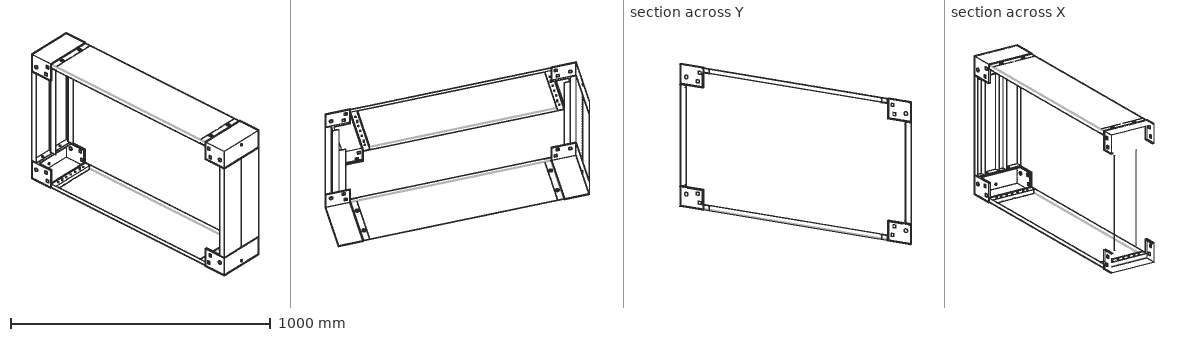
import cadquery as cq

LENGTH = 1000.0
WIDTH = 200.0
HEIGHT = 578.0
HALF_LENGTH = LENGTH / 2
HALF_WIDTH = WIDTH / 2
HALF_HEIGHT = HEIGHT / 2

CORNER_LENGTH = 100.0
CORNER_HEIGHT = 82.0
CORNER_SHEET = 3.0
CORNER_INNER_X = HALF_LENGTH - CORNER_LENGTH
CORNER_INNER_Z = HALF_HEIGHT - CORNER_HEIGHT
SHELF_DEPTH = 33.0
LIP_DEPTH = 21.0
GUSSET_RIM_WIDTH = 9.0
END_HOLE_DROP = 20.0
END_HOLE_DIAMETER = 9.0

ROUND_HOLE_PLACE = (24.0, 51.0)
ROUND_HOLE_DIAMETER = 15.0
SQUARE_HOLE_PLACES = [(82.0, 25.0), (74.0, 61.0)]
SQUARE_HOLE_SIZE = 12.0

PANEL_SHEET = 2.0

LONG_HALF_LENGTH = CORNER_INNER_X
LONG_SIDE_INSET = 0.5
LONG_TOP_INSET = 1.5
LONG_HALF_WIDTH = HALF_WIDTH - LONG_SIDE_INSET
LONG_TOP = HALF_HEIGHT - LONG_TOP_INSET
LONG_RIM = HALF_HEIGHT - LIP_DEPTH
LONG_BEND_RADIUS = 3.0

RAIL_WIDTH = 27.0
RAIL_WALL_END_GAP = 7.0
RAIL_NOTCH_WIDTH = 13.0
RAIL_NOTCH_HEIGHT = 2.0
RAIL_HOLE_DIAMETER = 6.0
RAIL_HOLE_PLACES = (-71.0, -25.0, 0, 25.0, 71.0)
SCREW_SPACING = 100.0
SCREW_INSET = 15.0
SCREW_HEAD_DIAMETER = 21.0
SCREW_HEAD_HEIGHT = 6.0
SCREW_SOCKET_DIAMETER = 10.0
SCREW_SOCKET_DEPTH = 3.0
SCREW_SHANK_DIAMETER = 6.0
SCREW_TIP_LENGTH = 6.0
SCREW_TIP = LONG_RIM - SCREW_TIP_LENGTH

SIDE_HALF_HEIGHT = CORNER_INNER_Z
SIDE_WIDTH = HALF_WIDTH
SIDE_DEPTH = 25.0
SIDE_RETURN = 18.0
SIDE_FIN_DEPTH = 52.0
SIDE_FIN_END_GAP = 10.0
SIDE_FIN_HALF_HEIGHT = SIDE_HALF_HEIGHT - SIDE_FIN_END_GAP
SIDE_HOLE_DIAMETER = 9.0
SIDE_HOLE_INSET = 13.0


def block(x_range, y_range, z_range):
    """Box between two limits on each axis."""
    (x0, x1), (y0, y1), (z0, z1) = x_range, y_range, z_range
    return cq.Workplane("XY").box(x1 - x0, y1 - y0, z1 - z0, centered=False).translate((x0, y0, z0))


def upright_cylinder(x, y, z, diameter, height):
    """Cylinder along Z that rises from the given point."""
    return cq.Workplane("XY", origin=(x, y, z)).circle(diameter / 2).extrude(height)


def make_corner():
    """Sheet bracket at the +X, +Z corner: top, end and two gussets around an open inside."""
    x_wall = HALF_LENGTH - CORNER_SHEET
    y_wall = HALF_WIDTH - CORNER_SHEET
    z_wall = HALF_HEIGHT - CORNER_SHEET
    inner_y = (-y_wall, y_wall)

    corner = block((CORNER_INNER_X, HALF_LENGTH), (-HALF_WIDTH, HALF_WIDTH), (CORNER_INNER_Z, HALF_HEIGHT))
    corner = corner.cut(block((CORNER_INNER_X, x_wall), inner_y, (CORNER_INNER_Z, z_wall)))

    shelf_z = (CORNER_INNER_Z, CORNER_INNER_Z + CORNER_SHEET)
    lip_x = (CORNER_INNER_X, CORNER_INNER_X + CORNER_SHEET)
    corner = corner.union(block((HALF_LENGTH - SHELF_DEPTH, HALF_LENGTH), inner_y, shelf_z))
    corner = corner.union(block(lip_x, inner_y, (HALF_HEIGHT - LIP_DEPTH, HALF_HEIGHT)))

    rim_start = HALF_WIDTH - GUSSET_RIM_WIDTH
    for rim_y in ((-HALF_WIDTH, -rim_start), (rim_start, HALF_WIDTH)):
        corner = corner.union(block((CORNER_INNER_X, HALF_LENGTH), rim_y, shelf_z))
        corner = corner.union(block(lip_x, rim_y, (CORNER_INNER_Z, HALF_HEIGHT)))

    return corner.cut(gusset_openings()).cut(end_hole())


def gusset_openings():
    """Cutters across the full width, through both gussets."""
    round_inset, round_drop = ROUND_HOLE_PLACE
    cutters = cq.Workplane("XZ").center(HALF_LENGTH - round_inset, HALF_HEIGHT - round_drop)
    cutters = cutters.circle(ROUND_HOLE_DIAMETER / 2).extrude(HALF_WIDTH, both=True)
    square_centers = [(HALF_LENGTH - inset, HALF_HEIGHT - drop) for inset, drop in SQUARE_HOLE_PLACES]
    squares = (
        cq.Workplane("XZ")
        .pushPoints(square_centers)
        .rect(SQUARE_HOLE_SIZE, SQUARE_HOLE_SIZE)
        .extrude(HALF_WIDTH, both=True)
    )
    return cutters.add(squares).combine()


def end_hole():
    """Cutter for the hole through the end sheet."""
    start = (HALF_LENGTH - CORNER_SHEET, 0, HALF_HEIGHT - END_HOLE_DROP)
    return cq.Workplane("YZ", origin=start).circle(END_HOLE_DIAMETER / 2).extrude(CORNER_SHEET)


def add_rail(panel):
    """Close the +X end of the long panel with a hollow rail and its two screws."""
    rail_start = LONG_HALF_LENGTH - RAIL_WIDTH
    rail_middle = LONG_HALF_LENGTH - RAIL_WIDTH / 2
    wall_half_width = LONG_HALF_WIDTH - RAIL_WALL_END_GAP
    wall_y = (-wall_half_width, wall_half_width)
    wall_x = (rail_start, rail_start + PANEL_SHEET)
    sheet_z = LONG_TOP - PANEL_SHEET

    panel = panel.union(block(wall_x, wall_y, (LONG_RIM, sheet_z)))
    floor_y = (-LONG_HALF_WIDTH, LONG_HALF_WIDTH)
    floor_z = (LONG_RIM, LONG_RIM + PANEL_SHEET)
    panel = panel.union(block((rail_start, LONG_HALF_LENGTH), floor_y, floor_z))

    notch_y = (-RAIL_NOTCH_WIDTH / 2, RAIL_NOTCH_WIDTH / 2)
    panel = panel.cut(block(wall_x, notch_y, (sheet_z - RAIL_NOTCH_HEIGHT, sheet_z)))

    for y in RAIL_HOLE_PLACES:
        panel = panel.cut(upright_cylinder(rail_middle, y, LONG_RIM, RAIL_HOLE_DIAMETER, PANEL_SHEET))
    screw_x = LONG_HALF_LENGTH - SCREW_INSET
    for y in (-SCREW_SPACING / 2, SCREW_SPACING / 2):
        panel = panel.cut(upright_cylinder(screw_x, y, sheet_z, SCREW_SOCKET_DIAMETER, PANEL_SHEET))
        panel = panel.union(make_screw(screw_x, y))
    return panel


def make_screw(x, y):
    """Countersunk screw form, part of the long panel; its tip reaches out below the rail."""
    head = SCREW_HEAD_DIAMETER / 2
    shank = SCREW_SHANK_DIAMETER / 2
    neck = LONG_TOP - SCREW_HEAD_HEIGHT
    socket = SCREW_SOCKET_DIAMETER / 2
    socket_floor = LONG_TOP - SCREW_SOCKET_DEPTH
    profile = [
        (0, SCREW_TIP),
        (shank, SCREW_TIP),
        (shank, neck),
        (head, LONG_TOP),
        (socket, LONG_TOP),
        (socket, socket_floor),
        (0, socket_floor),
    ]
    screw = cq.Workplane("XZ").polyline(profile).close().revolve(360, (0, 0, 0), (0, 1, 0))
    return screw.translate((x, y, 0))


def make_long_panel():
    """Shallow tray, open downward, with bent edges and a rail at each end."""
    length = (-LONG_HALF_LENGTH, LONG_HALF_LENGTH)
    width = (-LONG_HALF_WIDTH, LONG_HALF_WIDTH)
    panel = block(length, width, (LONG_RIM, LONG_TOP)).edges(">Z").fillet(LONG_BEND_RADIUS)
    panel = panel.faces("<Z").shell(-PANEL_SHEET)
    panel = add_rail(panel)
    return add_rail(panel.rotate((0, 0, 0), (0, 0, 1), 180))


def make_side_panel():
    """Tray on the +X end over the -Y half, its +Y flange carrying a return and a deeper fin."""
    x_rim = HALF_LENGTH - SIDE_DEPTH
    x_wall = HALF_LENGTH - PANEL_SHEET
    height = (-SIDE_HALF_HEIGHT, SIDE_HALF_HEIGHT)
    inner_height = (-SIDE_HALF_HEIGHT + PANEL_SHEET, SIDE_HALF_HEIGHT - PANEL_SHEET)
    fin_height = (-SIDE_FIN_HALF_HEIGHT, SIDE_FIN_HALF_HEIGHT)

    panel = block((x_rim, HALF_LENGTH), (-SIDE_WIDTH, 0), height)
    panel = panel.cut(block((x_rim, x_wall), (-SIDE_WIDTH + PANEL_SHEET, -PANEL_SHEET), inner_height))

    panel = panel.union(block((x_rim, x_rim + PANEL_SHEET), (-SIDE_RETURN, 0), fin_height))
    fin_x = (HALF_LENGTH - SIDE_FIN_DEPTH, x_rim + PANEL_SHEET)
    panel = panel.union(block(fin_x, (-SIDE_RETURN, -SIDE_RETURN + PANEL_SHEET), fin_height))

    hole_x = HALF_LENGTH - SIDE_HOLE_INSET
    full_height = 2 * SIDE_HALF_HEIGHT
    holes = upright_cylinder(hole_x, -SIDE_WIDTH / 2, -SIDE_HALF_HEIGHT, SIDE_HOLE_DIAMETER, full_height)
    return panel.cut(holes)


corner = make_corner()
top_corners = [corner, corner.mirror("YZ")]
corners = top_corners + [bracket.mirror("XY") for bracket in top_corners]

top_panel = make_long_panel()
long_panels = [top_panel, top_panel.mirror("XY")]

side_panel = make_side_panel()
right_panels = [side_panel, side_panel.translate((0, SIDE_WIDTH, 0))]
side_panels = right_panels + [panel.mirror("YZ") for panel in right_panels]

result = cq.Compound.makeCompound([body.val() for body in corners + long_panels + side_panels])